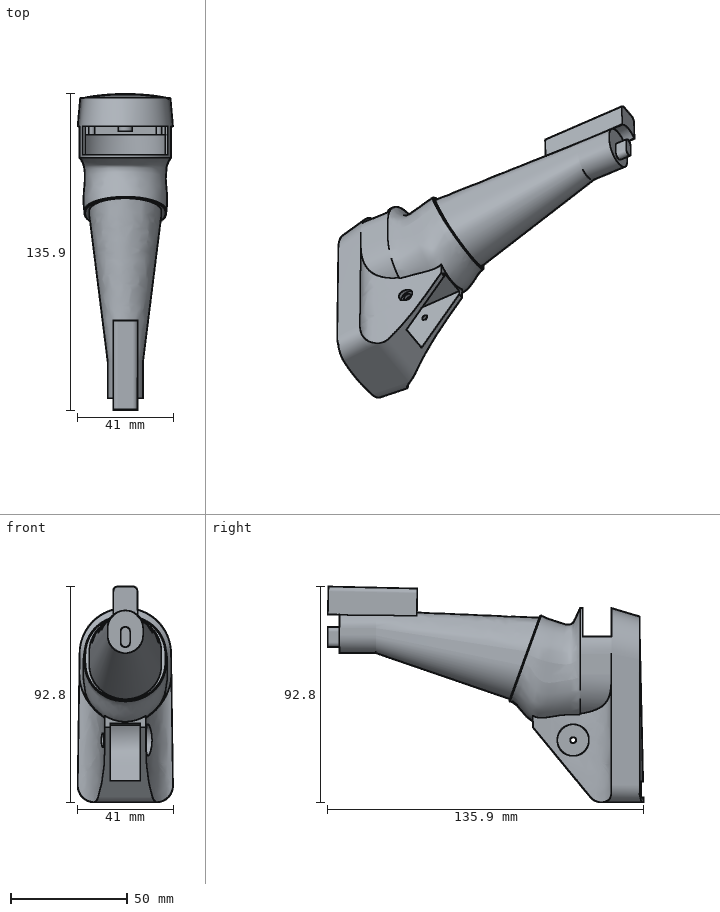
import cadquery as cq
import math

LENGTH = 135.9
HEIGHT = 92.8
TIP_Y = -LENGTH / 2
BACK_Y = LENGTH / 2

SHELL_FRONT_Y = 54.0
SHELL_BACK_Y = 66.2
SHELL_HALF_WIDTH = 20.5
SHELL_BACK_HALF_WIDTH = 19.5
SHELL_BACK_FILLET = 0.5
BOTTOM_CORNER = 7.3
TOP_RADIUS = 19.7
TOP_CENTER_Z = 63.9
BACK_TOP_RADIUS = 18.5
BACK_TOP_CENTER_Z = 61.5

COVER_HALF_WIDTH = 18.3
COVER_HEIGHT = 76.1
COVER_LEAN_DEGREES = 1.4
COVER_NOTCH_BOTTOM = 2.2
COVER_NOTCH_TOP = 9.0
COVER_NOTCH_Y = 66.7

COLLAR_FRONT_Y = 40.5
COLLAR_LOW_CENTER_Z = 54.9
COLLAR_TOP_Z = TOP_CENTER_Z + TOP_RADIUS
COLLAR_BOTTOM_Z = COLLAR_LOW_CENTER_Z - TOP_RADIUS

WINDOW_FRONT_Y = 41.7
WINDOW_SILL_Z = 71.4
CHAMBER_RADIUS = 18.8
CHAMBER_BACK_Y = 50.3
LEDGE_Z = 62.5
NUB_DIAMETER = 6.0
NUB_LENGTH = 2.2
PIN_DIAMETER = 2.5
PIN_X = 14.4

FIN_HALF_WIDTH = 8.8
FIN_FRONT_Y = 20.3
FIN_CHIN_Z = 32.2
FIN_SLOPE_END = (44.9, 2.3)
FIN_HEEL = (47.2, 0.5)
FIN_FOOT_Y = 49.6
FLARE_START_Y = 27.7

POCKET_HALF_WIDTH = 6.4
POCKET_RADIUS = 14.1
POCKET_FLOOR_DEGREES = 41
POCKET_CEILING_Z = 33.2
POCKET_MOUTH_Z = 34.1
PIVOT_Y = 37.5
PIVOT_Z = 26.8
PIVOT_DIAMETER = 2.5
SCREW_SEAT_DIAMETER = 3.5
SCREW_HEAD_DIAMETER = 6.0
SCREW_HEAD_FLOOR_X = 8.2
KNOB_RECESS_DIAMETER = 13.6
KNOB_RECESS_FLOOR_X = 8.7

SHOULDER_SECTIONS = [
    ((37.8, 77.9), (36.7, 34.9), 18.0),
    ((34.8, 76.7), (29.2, 34.7), 17.4),
    ((28.5, 78.4), (19.8, 34.9), 18.0),
    ((26.0, 79.5), (15.2, 39.4), 18.0),
]

RIM_TOP = (23.4, 80.5)
RIM_BOTTOM = (9.9, 43.4)
RIM_HALF_WIDTH = 17.5
RIM_CHAMFER = 0.4
RIM_LEDGE = 1.1
SPOUT_ROOT_HALF_WIDTH = 15.5
NOZZLE_BACK_Y = -47.3
NOZZLE_FRONT_Y = -62.9
NOZZLE_TOP_Z = 82.5
NOZZLE_BOTTOM_Z = 64.2
NOZZLE_HALF_WIDTH = 7.6

KEY_WIDTH = 4.1
KEY_BOTTOM_Z = 66.7
KEY_TOP_Z = 75.5

BAR_WIDTH = 10.5
BAR_LENGTH = 38.3
BAR_DEPTH = 12.1
BAR_FILLET = 2.0
BAR_TILT_DEGREES = 1.3


def oblong(top, bottom, half_width):
    """Round-ended outline standing between two (y, z) points of the YZ symmetry plane."""
    dy, dz = top[0] - bottom[0], top[1] - bottom[1]
    half_height = math.hypot(dy, dz) / 2
    straight = half_height - half_width
    middle = (0, (top[0] + bottom[0]) / 2, (top[1] + bottom[1]) / 2)
    plane = cq.Plane(origin=middle, xDir=(1, 0, 0), normal=(0, -dz, dy))
    return (
        cq.Workplane(plane)
        .moveTo(-half_width, -straight)
        .lineTo(-half_width, straight)
        .threePointArc((0, half_height), (half_width, straight))
        .lineTo(half_width, -straight)
        .threePointArc((0, -half_height), (-half_width, -straight))
        .close()
        .wire()
        .val()
    )


def loft(sections, ruled=False):
    wires = [oblong(*section) for section in sections]
    return cq.Workplane(cq.Solid.makeLoft(wires, ruled))


def upright(y, top_z, bottom_z, half_width):
    return ((y, top_z), (y, bottom_z), half_width)


def box(x_range, y_range, z_range):
    sizes = [high - low for low, high in (x_range, y_range, z_range)]
    corner = (x_range[0], y_range[0], z_range[0])
    return cq.Workplane("XY").box(*sizes, centered=False).translate(corner)


def y_cylinder(diameter, x, z, y_start, y_end):
    """Cylinder along Y from y_start forward to y_end."""
    plane = cq.Workplane("XZ", origin=(x, y_start, z))
    return plane.circle(diameter / 2).extrude(y_start - y_end)


def x_cylinder(diameter, x_start, x_end):
    """Cylinder along X on the pivot axis."""
    plane = cq.Workplane("YZ", origin=(x_start, PIVOT_Y, PIVOT_Z))
    return plane.circle(diameter / 2).extrude(x_end - x_start)


def shell_outline(y, half_width, top_radius, top_center_z):
    diagonal = BOTTOM_CORNER * (1 - math.sqrt(0.5))
    foot = half_width - BOTTOM_CORNER
    return (
        cq.Workplane("XZ", origin=(0, y, 0))
        .moveTo(-foot, 0)
        .lineTo(foot, 0)
        .threePointArc((half_width - diagonal, diagonal), (half_width, BOTTOM_CORNER))
        .lineTo(top_radius, top_center_z)
        .threePointArc((0, top_center_z + top_radius), (-top_radius, top_center_z))
        .lineTo(-half_width, BOTTOM_CORNER)
        .threePointArc((diagonal - half_width, diagonal), (-foot, 0))
        .close()
    )


def shell_front_outline(y):
    return shell_outline(y, SHELL_HALF_WIDTH, TOP_RADIUS, TOP_CENTER_Z)


def make_shell():
    front = shell_front_outline(SHELL_FRONT_Y)
    back = shell_outline(SHELL_BACK_Y, SHELL_BACK_HALF_WIDTH, BACK_TOP_RADIUS, BACK_TOP_CENTER_Z)
    wires = [front.wire().val(), back.wire().val()]
    shell = cq.Workplane(cq.Solid.makeLoft(wires, True))
    return shell.faces(">Y").edges().fillet(SHELL_BACK_FILLET)


def make_back_cover():
    cover = (
        cq.Workplane("XY")
        .moveTo(-COVER_HALF_WIDTH, SHELL_FRONT_Y)
        .lineTo(-COVER_HALF_WIDTH, SHELL_BACK_Y)
        .threePointArc((0, BACK_Y), (COVER_HALF_WIDTH, SHELL_BACK_Y))
        .lineTo(COVER_HALF_WIDTH, SHELL_FRONT_Y)
        .close()
        .extrude(COVER_HEIGHT)
        .rotate((0, BACK_Y, 0), (1, BACK_Y, 0), COVER_LEAN_DEGREES)
    )
    outline = shell_outline(BACK_Y, SHELL_BACK_HALF_WIDTH, BACK_TOP_RADIUS, BACK_TOP_CENTER_Z)
    cover = cover.intersect(outline.extrude(BACK_Y - SHELL_FRONT_Y))
    notch = box(
        (-SHELL_HALF_WIDTH, SHELL_HALF_WIDTH),
        (COVER_NOTCH_Y, BACK_Y),
        (COVER_NOTCH_BOTTOM, COVER_NOTCH_TOP),
    )
    return cover.cut(notch)


def make_collar():
    ends = [
        upright(y, COLLAR_TOP_Z, COLLAR_BOTTOM_Z, TOP_RADIUS)
        for y in (SHELL_FRONT_Y, COLLAR_FRONT_Y)
    ]
    return loft(ends, ruled=True)


def make_shoulder():
    """Waisted neck that turns from the upright collar to the tilted rim."""
    shoulder = loft([
        upright(COLLAR_FRONT_Y, COLLAR_TOP_Z, COLLAR_BOTTOM_Z, TOP_RADIUS),
        *SHOULDER_SECTIONS,
        (RIM_TOP, RIM_BOTTOM, RIM_HALF_WIDTH),
    ])
    rim_center = (0, (RIM_TOP[0] + RIM_BOTTOM[0]) / 2, (RIM_TOP[1] + RIM_BOTTOM[1]) / 2)
    rim_face = cq.selectors.NearestToPointSelector(rim_center)
    return shoulder.faces(rim_face).edges().chamfer(RIM_CHAMFER)


def make_fin():
    """Side outline of the fin, trimmed to the flared plan and to the rounded shell outline."""
    side = (
        cq.Workplane("YZ", origin=(-SHELL_HALF_WIDTH, 0, 0))
        .moveTo(SHELL_FRONT_Y, 0)
        .lineTo(FIN_FOOT_Y, 0)
        .threePointArc(FIN_HEEL, FIN_SLOPE_END)
        .lineTo(FIN_FRONT_Y, FIN_CHIN_Z)
        .lineTo(FIN_FRONT_Y, COLLAR_LOW_CENTER_Z)
        .lineTo(SHELL_FRONT_Y, COLLAR_LOW_CENTER_Z)
        .close()
        .extrude(2 * SHELL_HALF_WIDTH)
    )
    plan = box(
        (-SHELL_HALF_WIDTH, SHELL_HALF_WIDTH),
        (FLARE_START_Y, SHELL_FRONT_Y),
        (0, COLLAR_LOW_CENTER_Z),
    )
    flare_hollow = (
        cq.Workplane("XY", origin=(0, FLARE_START_Y, 0))
        .pushPoints([(-SHELL_HALF_WIDTH, 0), (SHELL_HALF_WIDTH, 0)])
        .ellipse(SHELL_HALF_WIDTH - FIN_HALF_WIDTH, SHELL_FRONT_Y - FLARE_START_Y)
        .extrude(COLLAR_LOW_CENTER_Z)
    )
    web = box(
        (-FIN_HALF_WIDTH, FIN_HALF_WIDTH),
        (FIN_FRONT_Y, SHELL_FRONT_Y),
        (0, COLLAR_LOW_CENTER_Z),
    )
    plan = plan.cut(flare_hollow).union(web)
    outline = shell_front_outline(SHELL_FRONT_Y).extrude(SHELL_FRONT_Y - FIN_FRONT_Y)
    return side.intersect(plan).intersect(outline)


def make_lever_pocket():
    """Round-backed pocket that opens through the sloping front of the fin."""
    slope = math.radians(POCKET_FLOOR_DEGREES)
    ceiling_angle = math.asin((POCKET_CEILING_Z - PIVOT_Z) / POCKET_RADIUS)
    floor_angle = slope - math.pi / 2

    def on_arc(angle):
        return (
            PIVOT_Y + POCKET_RADIUS * math.cos(angle),
            PIVOT_Z + POCKET_RADIUS * math.sin(angle),
        )

    floor_start = on_arc(floor_angle)
    run = floor_start[0] - FIN_FRONT_Y
    floor_end = (FIN_FRONT_Y, floor_start[1] - run * math.tan(slope))
    return (
        cq.Workplane("YZ", origin=(-POCKET_HALF_WIDTH, 0, 0))
        .moveTo(*on_arc(ceiling_angle))
        .threePointArc(on_arc((ceiling_angle + floor_angle) / 2), floor_start)
        .lineTo(*floor_end)
        .lineTo(FIN_FRONT_Y, POCKET_MOUTH_Z)
        .close()
        .extrude(2 * POCKET_HALF_WIDTH)
    )


def make_pivot_hole():
    """Stepped screw hole from the -X side, ending in a knob recess on the +X side."""
    through = x_cylinder(PIVOT_DIAMETER, -SHELL_HALF_WIDTH, SHELL_HALF_WIDTH)
    seat = x_cylinder(SCREW_SEAT_DIAMETER, -SHELL_HALF_WIDTH, 0)
    head = x_cylinder(SCREW_HEAD_DIAMETER, -SHELL_HALF_WIDTH, -SCREW_HEAD_FLOOR_X)
    knob = x_cylinder(KNOB_RECESS_DIAMETER, KNOB_RECESS_FLOOR_X, SHELL_HALF_WIDTH)
    return through.union(seat).union(head).union(knob)


def make_chamber():
    """Window in the top of the collar, the round chamber under it and the ledge at its back."""
    window = box(
        (-SHELL_HALF_WIDTH, SHELL_HALF_WIDTH),
        (WINDOW_FRONT_Y, SHELL_FRONT_Y),
        (WINDOW_SILL_Z, HEIGHT),
    )
    chamber = y_cylinder(2 * CHAMBER_RADIUS, 0, TOP_CENTER_Z, SHELL_FRONT_Y, WINDOW_FRONT_Y)
    ledge = box(
        (-CHAMBER_RADIUS, CHAMBER_RADIUS),
        (CHAMBER_BACK_Y, SHELL_FRONT_Y),
        (TOP_CENTER_Z - CHAMBER_RADIUS, LEDGE_Z),
    )
    return window.union(chamber.cut(ledge))


def make_chamber_pins():
    pins = y_cylinder(NUB_DIAMETER, 0, TOP_CENTER_Z, SHELL_FRONT_Y, SHELL_FRONT_Y - NUB_LENGTH)
    for x in (-PIN_X, PIN_X):
        pins = pins.union(y_cylinder(PIN_DIAMETER, x, TOP_CENTER_Z, SHELL_FRONT_Y, CHAMBER_BACK_Y))
    return pins


def make_spout():
    dy, dz = RIM_TOP[0] - RIM_BOTTOM[0], RIM_TOP[1] - RIM_BOTTOM[1]
    rim_height = math.hypot(dy, dz)
    step = (RIM_LEDGE * dy / rim_height, RIM_LEDGE * dz / rim_height)
    root = (
        (RIM_TOP[0] - step[0], RIM_TOP[1] - step[1]),
        (RIM_BOTTOM[0] + step[0], RIM_BOTTOM[1] + step[1]),
        SPOUT_ROOT_HALF_WIDTH,
    )
    nozzle_back = upright(NOZZLE_BACK_Y, NOZZLE_TOP_Z, NOZZLE_BOTTOM_Z, NOZZLE_HALF_WIDTH)
    return loft([root, nozzle_back], ruled=True)


def nozzle_length(y_start, y_end):
    ends = [upright(y, NOZZLE_TOP_Z, NOZZLE_BOTTOM_Z, NOZZLE_HALF_WIDTH) for y in (y_start, y_end)]
    return loft(ends, ruled=True)


def make_key():
    ends = [upright(y, KEY_TOP_Z, KEY_BOTTOM_Z, KEY_WIDTH / 2) for y in (NOZZLE_FRONT_Y, TIP_Y)]
    return loft(ends, ruled=True)


def make_sight_bar():
    """Slightly tilted bar; its overhang is hollowed to the nozzle outline."""
    half_width = BAR_WIDTH / 2
    bottom_z = HEIGHT - BAR_DEPTH
    bar = (
        box((-half_width, half_width), (TIP_Y, TIP_Y + BAR_LENGTH), (bottom_z, HEIGHT))
        .edges("|Y and >Z")
        .fillet(BAR_FILLET)
        .rotate((0, TIP_Y, bottom_z), (1, TIP_Y, bottom_z), -BAR_TILT_DEGREES)
    )
    return bar.cut(nozzle_length(NOZZLE_FRONT_Y, 2 * TIP_Y))


body = (
    make_shell()
    .union(make_back_cover())
    .union(make_collar())
    .union(make_shoulder())
    .union(make_fin())
    .union(make_spout())
    .union(nozzle_length(NOZZLE_BACK_Y, NOZZLE_FRONT_Y))
    .union(make_key())
    .union(make_sight_bar())
)

result = (
    body.cut(make_chamber())
    .union(make_chamber_pins())
    .cut(make_lever_pocket())
    .cut(make_pivot_hole())
)